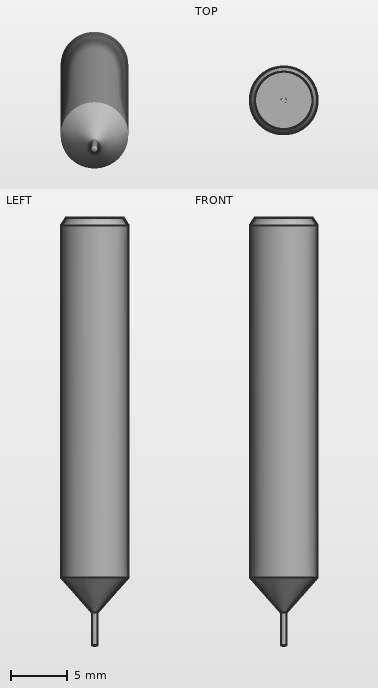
import cadquery as cq
import math

overall_length = 38.0
shank_diameter = 6.0
drill_diameter = 0.5
drill_length = 3.0
point_angle = 140.0
taper_top = 6.1
chamfer_height = 0.7
chamfer_width = 0.45

shank_radius = shank_diameter / 2
drill_radius = drill_diameter / 2
point_height = drill_radius / math.tan(math.radians(point_angle / 2))


def revolve_about_z(half_section):
    """Turn a closed outline of (radius, height) points about the Z axis."""
    return cq.Workplane("XZ").polyline(half_section).close().revolve(360, (0, 0), (0, 1))


def make_shank():
    """Round shank: conical nose at the bottom, chamfered edge at the top."""
    return revolve_about_z([
        (0, drill_length),
        (drill_radius, drill_length),
        (shank_radius, taper_top),
        (shank_radius, overall_length - chamfer_height),
        (shank_radius - chamfer_width, overall_length),
        (0, overall_length),
    ])


def make_drill_tip():
    """Thin cylinder with a shallow conical point, seated on the small end of the nose."""
    return revolve_about_z([
        (0, 0),
        (drill_radius, point_height),
        (drill_radius, drill_length),
        (0, drill_length),
    ])


shank = make_shank()
drill_tip = make_drill_tip()

result = cq.Compound.makeCompound([shank.val(), drill_tip.val()])